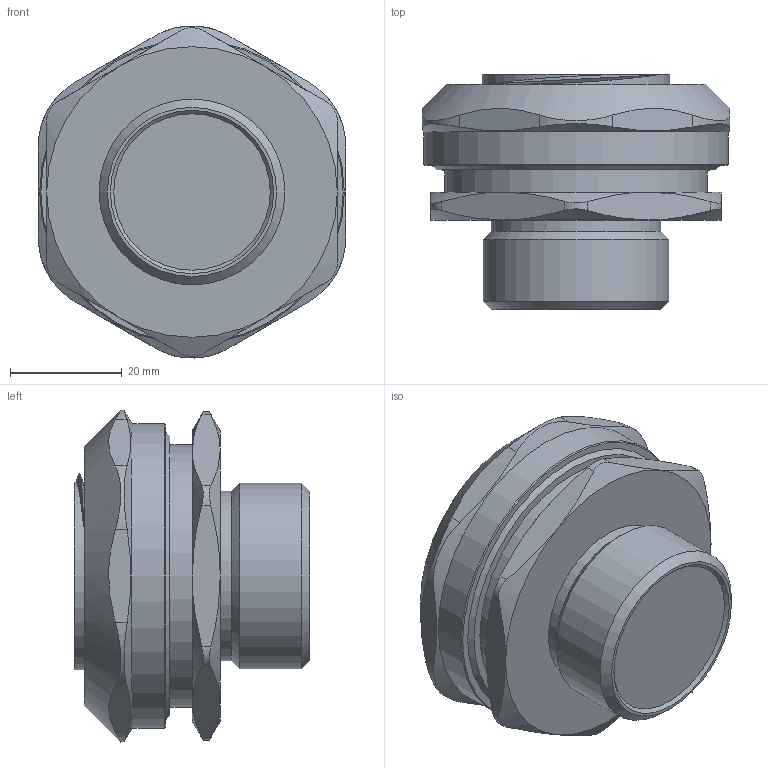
import math

import cadquery as cq

NOSE_END = 12.5
NECK_START = 14.0
NUT_FRONT = 16.0
NUT_BACK = 21.0
GASKET_FRONT = 25.0
FLANGE_FRONT = 25.8
HEX_FRONT = 31.8
HEX_BACK = 40.3
COLLAR_BACK = 42.1

NOSE_RADIUS = 33.25 / 2
NECK_RADIUS = 30.29 / 2
NOSE_CHAMFER = NOSE_RADIUS - NECK_RADIUS
RECESS_RIM_RADIUS = 14.6
RECESS_FLOOR_RADIUS = 14.0
RECESS_DEPTH = RECESS_RIM_RADIUS - RECESS_FLOOR_RADIUS

BODY_RADIUS = 47.0 / 2
FLANGE_RADIUS = 54.5 / 2
FLANGE_CHAMFER = 0.2
GASKET_BASE_RADIUS = 25.8
GASKET_TIP_RADIUS = 25.0

HEX_FLATS = 55.0
HEX_CORNER_FILLET = 13.2
HEX_BACK_RADIUS = 23.2
NUT_FLATS = 52.0
NUT_CORNER_FILLET = 4.0
CORNER_BEVEL_ANGLE = 30.0
BACK_BEVEL_ANGLE = 45.0

COLLAR_RADIUS = 33.6 / 2
RIDGE_CREST_HEIGHT = 18.35
RIDGE_CREST_RADIUS = 15.5
RIDGE_ANGLE = 40.0
RIDGE_TILT = 3.0


def revolve_profile(points):
    """Revolve a closed (radius, y) outline around the Y axis."""
    return cq.Workplane("XY").polyline(points).close().revolve(360, (0, 0, 0), (0, 1, 0))


def cylinder(radius, start, end):
    """Cylinder on the Y axis between two stations."""
    return revolve_profile([(0, start), (radius, start), (radius, end), (0, end)])


def hex_prism(flats, corner_fillet, start, end):
    """Hexagonal prism along Y with rounded corners, two of them at +Z and -Z."""
    corner_diameter = flats / math.cos(math.radians(30))
    return (
        cq.Workplane("XZ", origin=(0, start, 0))
        .transformed(rotate=(0, 0, 30))
        .polygon(6, corner_diameter)
        .extrude(start - end)
        .edges("|Y")
        .fillet(corner_fillet)
    )


def bevel_envelope(front_radius, front_angle, back_radius, back_angle, start, end):
    """Double cone that widens inward from both end faces; angles are measured from the faces (deg)."""
    front_slope = math.tan(math.radians(front_angle))
    back_slope = math.tan(math.radians(back_angle))
    widest_radius = (
        end - start + front_radius * front_slope + back_radius * back_slope
    ) / (front_slope + back_slope)
    widest_y = start + (widest_radius - front_radius) * front_slope
    return revolve_profile(
        [(0, start), (front_radius, start), (widest_radius, widest_y), (back_radius, end), (0, end)]
    )


def nose():
    """Threaded end with chamfers, undercut neck and a shallow conical recess."""
    return revolve_profile(
        [
            (0, RECESS_DEPTH),
            (RECESS_FLOOR_RADIUS, RECESS_DEPTH),
            (RECESS_RIM_RADIUS, 0),
            (NOSE_RADIUS - NOSE_CHAMFER, 0),
            (NOSE_RADIUS, NOSE_CHAMFER),
            (NOSE_RADIUS, NOSE_END),
            (NECK_RADIUS, NECK_START),
            (NECK_RADIUS, NUT_FRONT),
            (0, NUT_FRONT),
        ]
    )


def lock_nut():
    """Hexagon nut with its corners bevelled on both faces."""
    prism = hex_prism(NUT_FLATS, NUT_CORNER_FILLET, NUT_FRONT, NUT_BACK)
    face_radius = NUT_FLATS / 2
    envelope = bevel_envelope(
        face_radius, CORNER_BEVEL_ANGLE, face_radius, CORNER_BEVEL_ANGLE, NUT_FRONT, NUT_BACK
    )
    return prism.intersect(envelope)


def round_body():
    """Groove, conical gasket and round flange between the two hexagons."""
    return revolve_profile(
        [
            (0, NUT_BACK),
            (BODY_RADIUS, NUT_BACK),
            (BODY_RADIUS, GASKET_FRONT),
            (GASKET_TIP_RADIUS, GASKET_FRONT),
            (GASKET_BASE_RADIUS, FLANGE_FRONT),
            (FLANGE_RADIUS - FLANGE_CHAMFER, FLANGE_FRONT),
            (FLANGE_RADIUS, FLANGE_FRONT + FLANGE_CHAMFER),
            (FLANGE_RADIUS, HEX_FRONT),
            (0, HEX_FRONT),
        ]
    )


def large_hexagon():
    """Hexagon with a slight front bevel and a steep back cone."""
    prism = hex_prism(HEX_FLATS, HEX_CORNER_FILLET, HEX_FRONT, HEX_BACK)
    envelope = bevel_envelope(
        FLANGE_RADIUS, CORNER_BEVEL_ANGLE, HEX_BACK_RADIUS, BACK_BEVEL_ANGLE, HEX_FRONT, HEX_BACK
    )
    return prism.intersect(envelope)


def collar():
    """Back collar; the ridge is a tilted, off-centre V-edged disc trimmed to the collar length."""
    middle = (HEX_BACK + COLLAR_BACK) / 2
    half_width = RIDGE_CREST_RADIUS * math.tan(math.radians(RIDGE_ANGLE / 2))
    disc = revolve_profile([(0, -half_width), (RIDGE_CREST_RADIUS, 0), (0, half_width)])
    disc = disc.rotate((0, 0, 0), (0, 0, 1), RIDGE_TILT)
    disc = disc.translate((0, middle, RIDGE_CREST_HEIGHT - RIDGE_CREST_RADIUS))
    trim = cylinder(HEX_BACK_RADIUS, HEX_BACK, COLLAR_BACK)
    return cylinder(COLLAR_RADIUS, HEX_BACK, COLLAR_BACK).union(disc.intersect(trim))


result = nose().union(lock_nut()).union(round_body()).union(large_hexagon()).union(collar())